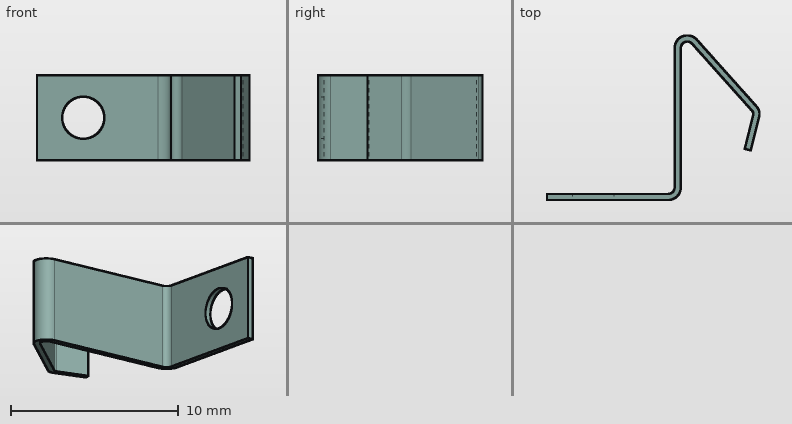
import cadquery as cq
import math

length = 12.7
depth = 9.84
height = 5.08
thickness = 0.38

bend_radius = 0.38
tip_bend_radius = 0.25
ramp_angle = 48.2
lip_angle = 104.0
right_angle = 90.0

wall_face_x = 7.62
lip_length = 2.1

hole_diameter = 2.5
hole_x = 2.77

outer_radius = bend_radius + thickness
tip_outer_radius = tip_bend_radius + thickness
foot_length = wall_face_x - bend_radius
wall_length = depth - 2 * outer_radius

crest_center_x = wall_face_x + outer_radius
tip_center_x = length - tip_outer_radius
radius_shift = (outer_radius - tip_outer_radius) * math.sin(math.radians(ramp_angle))
ramp_length = (tip_center_x - crest_center_x - radius_shift) / math.cos(math.radians(ramp_angle))

stretches = [
    (foot_length, right_angle, bend_radius),
    (wall_length, -(right_angle + ramp_angle), bend_radius),
    (ramp_length, ramp_angle - lip_angle, tip_bend_radius),
]


def ahead(point, heading, distance):
    """Return the point a distance away along a heading in degrees."""
    angle = math.radians(heading)
    return (point[0] + distance * math.cos(angle), point[1] + distance * math.sin(angle))


def straight_piece(start, heading, distance):
    """Flat strip whose centreline runs from start along the heading."""
    middle = ahead(start, heading, distance / 2)
    return (
        cq.Workplane("XY")
        .box(distance, thickness, height, centered=(True, True, False))
        .rotate((0, 0, 0), (0, 0, 1), heading)
        .translate((middle[0], middle[1], 0))
    )


def bend_piece(start, heading, turn, inside_radius):
    """Bent strip, returned with the end point of its centreline."""
    side = math.copysign(right_angle, turn)
    center = ahead(start, heading + side, inside_radius + thickness / 2)
    outside_radius = inside_radius + thickness

    def on_arc(radius, swept):
        return ahead(center, heading - side + swept, radius)

    piece = (
        cq.Workplane("XY")
        .moveTo(*on_arc(inside_radius, 0))
        .lineTo(*on_arc(outside_radius, 0))
        .threePointArc(on_arc(outside_radius, turn / 2), on_arc(outside_radius, turn))
        .lineTo(*on_arc(inside_radius, turn))
        .threePointArc(on_arc(inside_radius, turn / 2), on_arc(inside_radius, 0))
        .close()
        .extrude(height)
    )
    return piece, on_arc(inside_radius + thickness / 2, turn)


position = (0.0, thickness / 2)
heading = 0.0
clip = cq.Workplane("XY")
for distance, turn, inside_radius in stretches:
    clip = clip.add(straight_piece(position, heading, distance))
    position = ahead(position, heading, distance)
    bend, position = bend_piece(position, heading, turn, inside_radius)
    clip = clip.add(bend)
    heading += turn
clip = clip.add(straight_piece(position, heading, lip_length)).combine()

hole = (
    cq.Workplane("XZ")
    .center(hole_x, height / 2)
    .circle(hole_diameter / 2)
    .extrude(-thickness)
)
result = clip.cut(hole)